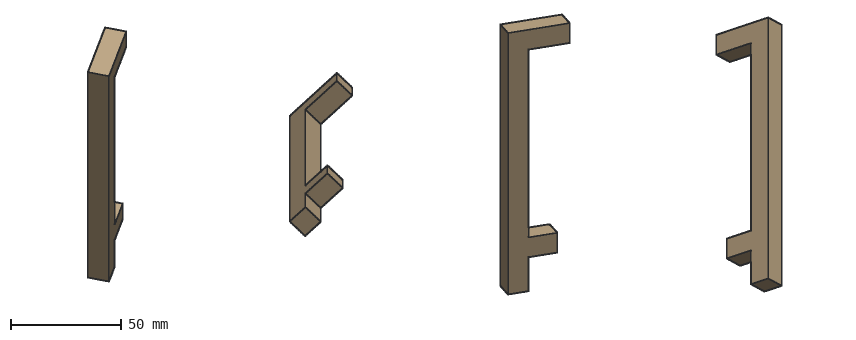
import cadquery as cq

section = 10.0
bar_height = 131.0
upper_leg_reach = 20.0
lower_leg_reach = 14.0
lower_leg_bottom = 17.0

upper_leg_bottom = bar_height - section


def make_bar():
    """Upright bar with its front face at Y = 0 and its foot at Z = 0."""
    return cq.Workplane("XY").box(section, section, bar_height, centered=(True, False, False))


def make_leg(reach, bottom):
    """Leg running from the bar's front face to the given reach behind the bar."""
    leg = cq.Workplane("XY").box(section, section + reach, section, centered=(True, False, False))
    return leg.translate((0, 0, bottom))


upper_leg = make_leg(upper_leg_reach, upper_leg_bottom)
lower_leg = make_leg(lower_leg_reach, lower_leg_bottom)

result = make_bar().union(upper_leg).union(lower_leg).clean()